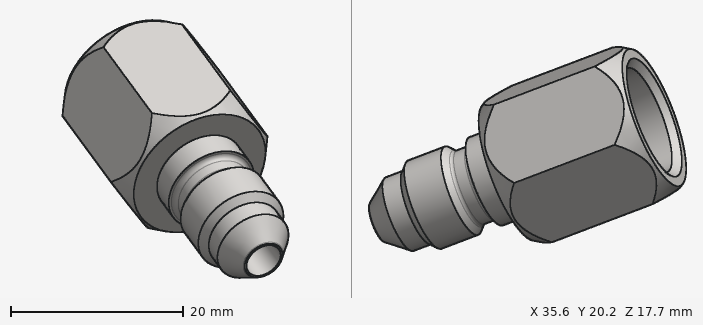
import cadquery as cq
import math

total_length = 35.65

hex_length = 18.55
hex_corner_diameter = 20.17
hex_tilt = -1.6
hex_face_radius = 8.5
hex_chamfer_angle = 30.0
hex_clearance = 0.35

shank_radius = 10.98 / 2
neck_radius = 9.15 / 2
groove_start = 21.67
groove_end = 24.85
groove_fillet = 0.6
collar_end = 29.58
nose_start = 32.82
nose_radius = 2.55
tip_chamfer = 0.15

socket_radius = 12.9 / 2
socket_chamfer = 0.85
socket_depth = 11.4
seat_base_radius = 6.3
seat_rim_radius = 6.02
seat_height = 0.3
seat_mouth_radius = 11.2 / 2
drill_radius = 8.02 / 2
drill_point_angle = 118.0
bore_radius = 4.4 / 2


def revolve_profile(profile):
    """Close a half profile drawn in the XY plane and revolve it about X."""
    return profile.close().revolve(360, (0, 0, 0), (1, 0, 0))


def make_hex_body():
    """Hexagonal prism with conical chamfers on the corners at both ends."""
    prism = (
        cq.Workplane("YZ")
        .polygon(6, hex_corner_diameter)
        .extrude(hex_length)
        .rotate((0, 0, 0), (1, 0, 0), hex_tilt)
    )
    envelope_radius = hex_corner_diameter / 2 + hex_clearance
    chamfer_length = (envelope_radius - hex_face_radius) / math.tan(math.radians(hex_chamfer_angle))
    envelope = revolve_profile(
        cq.Workplane("XY")
        .lineTo(0, hex_face_radius)
        .lineTo(chamfer_length, envelope_radius)
        .lineTo(hex_length - chamfer_length, envelope_radius)
        .lineTo(hex_length, hex_face_radius)
        .lineTo(hex_length, 0)
    )
    return prism.intersect(envelope)


def make_spigot():
    """Stepped spigot with a rounded groove, a collar and a conical nose."""
    root = (hex_length + socket_depth) / 2
    cos_45 = math.sqrt(0.5)
    fillet_center_radius = neck_radius + groove_fillet

    cone_foot_radius = fillet_center_radius - groove_fillet * cos_45
    cone_foot = groove_end - (shank_radius - cone_foot_radius)
    far_fillet_center = cone_foot - groove_fillet * cos_45
    far_fillet_mid = math.radians(45 / 2)
    near_fillet_center = groove_start + groove_fillet

    collar_chamfer = shank_radius - neck_radius
    profile = (
        cq.Workplane("XY")
        .moveTo(root, 0)
        .lineTo(root, shank_radius)
        .lineTo(groove_start, shank_radius)
        .lineTo(groove_start, fillet_center_radius)
        .threePointArc(
            (
                near_fillet_center - groove_fillet * cos_45,
                fillet_center_radius - groove_fillet * cos_45,
            ),
            (near_fillet_center, neck_radius),
        )
        .lineTo(far_fillet_center, neck_radius)
        .threePointArc(
            (
                far_fillet_center + groove_fillet * math.sin(far_fillet_mid),
                fillet_center_radius - groove_fillet * math.cos(far_fillet_mid),
            ),
            (cone_foot, cone_foot_radius),
        )
        .lineTo(groove_end, shank_radius)
        .lineTo(collar_end, shank_radius)
        .lineTo(collar_end + collar_chamfer, neck_radius)
        .lineTo(nose_start, neck_radius)
        .lineTo(total_length - tip_chamfer, nose_radius)
        .lineTo(total_length, nose_radius - tip_chamfer)
        .lineTo(total_length, 0)
    )
    return revolve_profile(profile)


def make_cavity():
    """Chamfered socket, raised conical seat, drill point and through bore."""
    seat_rim = socket_depth - seat_height
    seat_bottom = seat_rim + seat_mouth_radius - drill_radius
    drill_tip = seat_bottom + (drill_radius - bore_radius) / math.tan(math.radians(drill_point_angle / 2))
    profile = (
        cq.Workplane("XY")
        .lineTo(0, socket_radius + socket_chamfer)
        .lineTo(socket_chamfer, socket_radius)
        .lineTo(socket_depth, socket_radius)
        .lineTo(socket_depth, seat_base_radius)
        .lineTo(seat_rim, seat_rim_radius)
        .lineTo(seat_rim, seat_mouth_radius)
        .lineTo(seat_bottom, drill_radius)
        .lineTo(drill_tip, bore_radius)
        .lineTo(total_length, bore_radius)
        .lineTo(total_length, 0)
    )
    return revolve_profile(profile)


result = make_hex_body().union(make_spigot()).cut(make_cavity())